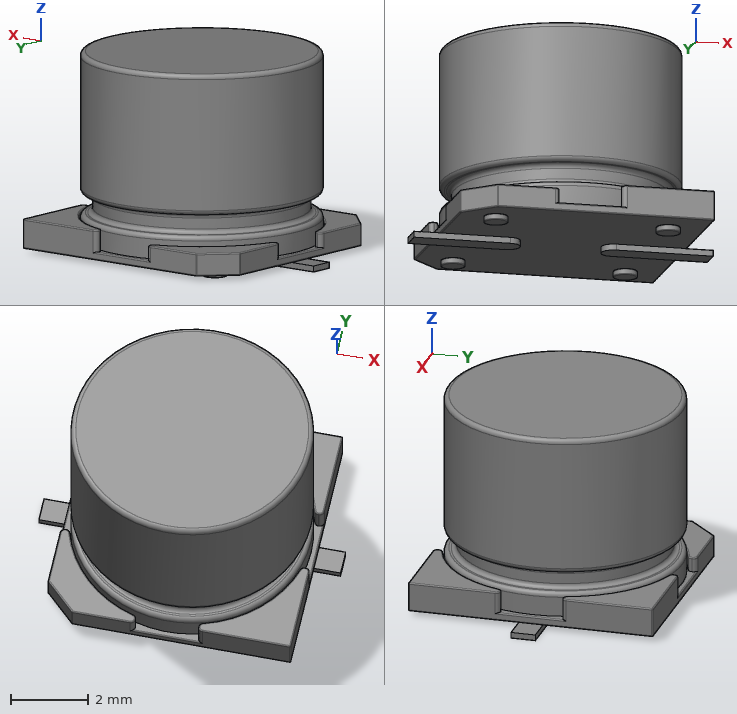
import cadquery as cq
import math

total_height = 5.3
lead_span = 8.0

can_radius = 6.3 / 2
neck_radius = 5.67 / 2
can_round = 0.13
neck_bottom = 1.15
neck_top = 1.44

base_side = 6.6
base_bottom = 0.16
floor_height = 0.37
low_post_top = 0.76
high_post_top = 0.94
corner_cut = 0.81
edge_round = 0.03
recess_radius = 3.19
slot_width = 1.68
post_end_round = 0.12

lead_width = 0.66
lead_length = 2.91
foot_diameter = 0.63
foot_round = 0.02
foot_offset = 2.3


def make_can():
    """Revolve the can profile; every shoulder of the crimp has the same radius."""
    r = can_round
    s = r * math.sin(math.pi / 4)
    lower_shoulder = neck_bottom - r
    upper_shoulder = neck_top + r
    seat = floor_height - edge_round
    profile = (
        cq.Workplane("XZ")
        .moveTo(0, seat)
        .lineTo(can_radius, seat)
        .lineTo(can_radius, lower_shoulder - r)
        .threePointArc((can_radius - r + s, lower_shoulder - r + s), (can_radius - r, lower_shoulder))
        .lineTo(neck_radius + r, lower_shoulder)
        .threePointArc((neck_radius + r - s, neck_bottom - s), (neck_radius, neck_bottom))
        .lineTo(neck_radius, neck_top)
        .threePointArc((neck_radius + r - s, neck_top + s), (neck_radius + r, upper_shoulder))
        .lineTo(can_radius - r, upper_shoulder)
        .threePointArc((can_radius - r + s, upper_shoulder + r - s), (can_radius, upper_shoulder + r))
        .lineTo(can_radius, total_height - r)
        .threePointArc((can_radius - r + s, total_height - r + s), (can_radius - r, total_height))
        .lineTo(0, total_height)
        .close()
    )
    return profile.revolve(360, (0, 0, 0), (0, 1, 0))


def base_block(bottom, top):
    """Square block with its two -X corners cut off and its upright edges rounded."""
    return (
        cq.Workplane("XY", origin=(0, 0, bottom))
        .rect(base_side, base_side)
        .extrude(top - bottom)
        .edges("|Z and <X")
        .chamfer(corner_cut)
        .edges("|Z")
        .fillet(edge_round)
    )


def make_floor():
    """Thin floor of the base, carrying the can, the posts and the feet."""
    return base_block(base_bottom, floor_height).faces("<Z or >Z").edges().fillet(edge_round)


def make_post(x_side, y_side, top):
    """Corner post: what is left of the base block outside the can recess and the side slots."""
    bottom = base_bottom + edge_round
    height = top - bottom
    quarter_side = (base_side - slot_width) / 2
    quarter_center = slot_width / 2 + quarter_side / 2
    quarter = (
        cq.Workplane("XY", origin=(x_side * quarter_center, y_side * quarter_center, bottom))
        .rect(quarter_side, quarter_side)
        .extrude(height)
    )
    recess = cq.Workplane("XY", origin=(0, 0, bottom)).circle(recess_radius).extrude(height)
    post = base_block(bottom, top).intersect(quarter).cut(recess)

    reach = base_side / 2
    slot_edge = slot_width / 2
    margin = 0.01
    for x_reach, y_reach in ((reach, slot_edge), (slot_edge, reach)):
        x_limits = sorted((0, x_side * (x_reach + margin)))
        y_limits = sorted((0, y_side * (y_reach + margin)))
        slot_wall = cq.selectors.BoxSelector(
            (x_limits[0], y_limits[0], bottom),
            (x_limits[1], y_limits[1], top),
        )
        post = post.edges("|Z").edges(slot_wall).fillet(post_end_round)
    return post.faces(">Z").edges().fillet(edge_round)


def make_lead(x_side):
    """Flat lead with a round inner end."""
    outer_end = lead_span / 2
    inner_center = outer_end - lead_length + lead_width / 2
    bar_length = outer_end - inner_center
    bar = (
        cq.Workplane("XY")
        .center(x_side * (inner_center + bar_length / 2), 0)
        .rect(bar_length, lead_width)
        .extrude(base_bottom)
    )
    inner_end = cq.Workplane("XY").center(x_side * inner_center, 0).circle(lead_width / 2).extrude(base_bottom)
    return bar.union(inner_end)


def make_feet():
    """Four round feet under the base corners."""
    return (
        cq.Workplane("XY")
        .rect(2 * foot_offset, 2 * foot_offset, forConstruction=True)
        .vertices()
        .circle(foot_diameter / 2)
        .extrude(base_bottom)
        .faces("<Z or >Z")
        .edges()
        .fillet(foot_round)
    )


result = make_floor().union(make_can()).union(make_feet())
for x_side, post_top in ((-1, low_post_top), (1, high_post_top)):
    result = result.union(make_lead(x_side))
    for y_side in (-1, 1):
        result = result.union(make_post(x_side, y_side, post_top))